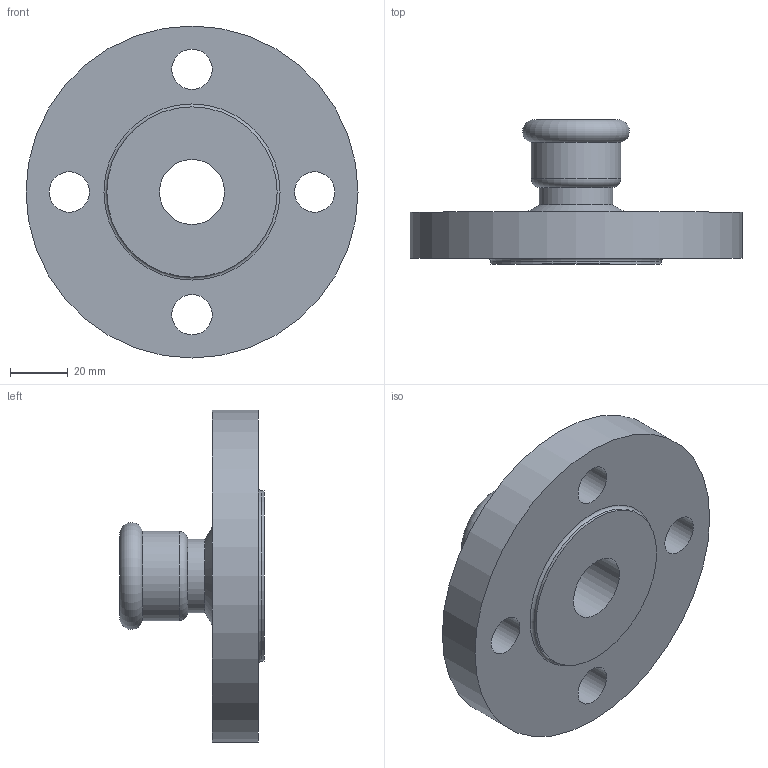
import cadquery as cq
import math


flange_radius = 115.0 / 2
flange_thickness = 16.0
raised_face_radius = 29.5
raised_face_height = 2.0
raised_face_fillet = 1.0

bolt_hole_diameter = 14.0
bolt_circle_radius = 85.0 / 2
bolt_count = 4

total_length = 50.0
bore_diameter = 22.5
neck_radius = 12.7
cone_base_radius = 17.0
cone_length = 2.5
neck_length = 6.0
sleeve_radius = 15.5
shoulder_fillet = 3.0
bead_radius = 18.5
bead_width = 8.0

flange_front = raised_face_height
flange_back = flange_front + flange_thickness
cone_end = flange_back + cone_length
neck_end = cone_end + neck_length
bead_arc_radius = bead_width / 2
bead_centre_y = total_length - bead_arc_radius
bead_centre_radius = bead_radius - bead_arc_radius
bead_start = bead_centre_y - math.sqrt(
    bead_arc_radius**2 - (sleeve_radius - bead_centre_radius) ** 2
)


def arc_middle(centre_x, centre_y, radius, angle_degrees):
    """Point on a circle, used as the middle point of an arc."""
    angle = math.radians(angle_degrees)
    return (centre_x + radius * math.cos(angle), centre_y + radius * math.sin(angle))


def make_turned_body():
    """Solid of revolution: raised face, flange, cone, neck, sleeve and bead."""
    fillet_centre_x = raised_face_radius + raised_face_fillet
    fillet_centre_y = flange_front - raised_face_fillet
    fillet_middle_angle = 135
    shoulder_centre_x = sleeve_radius - shoulder_fillet
    shoulder_centre_y = neck_end + shoulder_fillet
    shoulder_middle_angle = -45
    shoulder_start_y = shoulder_centre_y - math.sqrt(
        shoulder_fillet**2 - (neck_radius - shoulder_centre_x) ** 2
    )
    profile = (
        cq.Workplane("XY")
        .moveTo(0, 0)
        .lineTo(raised_face_radius, 0)
        .lineTo(raised_face_radius, fillet_centre_y)
        .threePointArc(
            arc_middle(fillet_centre_x, fillet_centre_y, raised_face_fillet, fillet_middle_angle),
            (fillet_centre_x, flange_front),
        )
        .lineTo(flange_radius, flange_front)
        .lineTo(flange_radius, flange_back)
        .lineTo(cone_base_radius, flange_back)
        .lineTo(neck_radius, cone_end)
        .lineTo(neck_radius, shoulder_start_y)
        .threePointArc(
            arc_middle(shoulder_centre_x, shoulder_centre_y, shoulder_fillet, shoulder_middle_angle),
            (sleeve_radius, shoulder_centre_y),
        )
        .lineTo(sleeve_radius, bead_start)
        .threePointArc(
            (bead_radius, bead_centre_y),
            (bead_centre_radius, total_length),
        )
        .lineTo(0, total_length)
        .close()
    )
    return profile.revolve(360, (0, 0, 0), (0, 1, 0))


def make_hole(diameter, x=0.0, z=0.0):
    """Cylinder along +Y through the full length of the part."""
    return cq.Workplane(
        cq.Solid.makeCylinder(diameter / 2, total_length, cq.Vector(x, 0, z), cq.Vector(0, 1, 0))
    )


def cut_bolt_holes(body):
    """Cut the evenly spaced bolt holes, the first one on the +X axis."""
    for index in range(bolt_count):
        bolt_angle = 2 * math.pi * index / bolt_count
        bolt_x = bolt_circle_radius * math.cos(bolt_angle)
        bolt_z = bolt_circle_radius * math.sin(bolt_angle)
        body = body.cut(make_hole(bolt_hole_diameter, bolt_x, bolt_z))
    return body


turned_body = make_turned_body()
bored_body = turned_body.cut(make_hole(bore_diameter))
result = cut_bolt_holes(bored_body)